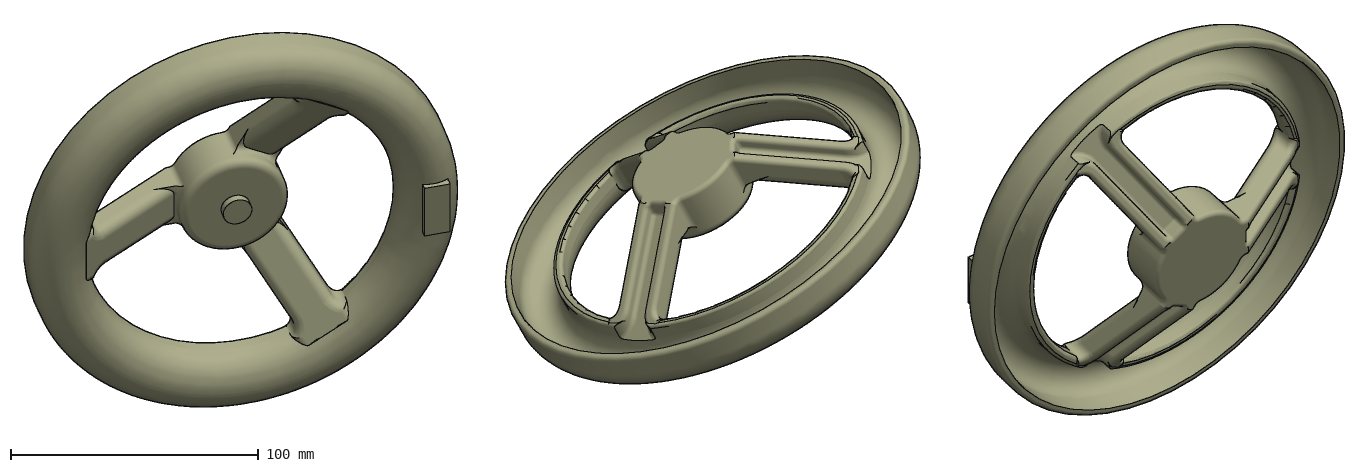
import cadquery as cq
import math

RIM_RADIUS = 89.8
RIM_FRONT = 23.7
RIM_BACK = 44.0
RIM_SIDE_END = 32.9
RIM_BACK_RADIUS = 78.1
BORE_RADIUS = 64.8
BORE_SIDE_END = 31.5
LIP_FRONT = 25.5
LIP_RADIUS = 69.0
TROUGH_RADIUS = 86.5
TROUGH_CENTER_X = 32.3
OUTER_LIP_FILLET = 1.8
INNER_LIP_FILLET = 1.5

HUB_RADIUS = 22.6
HUB_LENGTH = 22.1
HUB_BACK_FILLET = 3.2
BOSS_DIAMETER = 12.0
BOSS_LENGTH = 3.2

SPOKE_COUNT = 3
SPOKE_WIDTH = 19.0
SPOKE_SLOPE = 0.587
SPOKE_DEPTH = 13.8
SPOKE_KNEE = 23.4
SPOKE_END = 67.5
SPOKE_BACK_FILLET = 4.3
SPOKE_HUB_FILLET = 2.9
SPOKE_RIM_FILLET = 4.0
FRONT_FILLET = 2.0

CHANNEL_WIDTH = 8.6
CHANNEL_START = 23.0
CHANNEL_DEPTH = 6.3
CHANNEL_END = 70.0
CHANNEL_FLARE = 7.9
CHANNEL_FLOOR_FILLET = 1.8

PAD_BACK = 46.0
PAD_RADIUS = 78.0
PAD_HEIGHT = 10.8
PAD_LENGTH = 24.5

TINY = 0.09


def front_of_spoke(distance):
    """X of a spoke's front at a distance along the spoke."""
    return max(0, SPOKE_SLOPE * (distance - SPOKE_KNEE))


def distance_along(edge):
    """Distance of an edge's middle from the axis, along the nearest spoke."""
    middle = edge.positionAt(0.5)
    angles = [math.radians(180 + 360 / SPOKE_COUNT * i) for i in range(SPOKE_COUNT)]
    return max(middle.y * math.cos(a) + middle.z * math.sin(a) for a in angles)


def depth_below_front(edge):
    return edge.positionAt(0.5).x - front_of_spoke(distance_along(edge))


def is_along_x(edge):
    box = edge.BoundingBox()
    return box.ylen < TINY and box.zlen < TINY


def ellipse_mid(start, end):
    """Midpoint of the quarter ellipse that leaves start along X and reaches end along Y."""
    c = math.sqrt(0.5)
    return (start[0] + c * (end[0] - start[0]), end[1] + c * (start[1] - end[1]))


def around(body, index):
    return body.rotate((0, 0, 0), (1, 0, 0), 360 / SPOKE_COUNT * index)


def make_rim():
    back = (RIM_BACK, RIM_BACK_RADIUS)
    outer = (RIM_SIDE_END, RIM_RADIUS)
    inner = (BORE_SIDE_END, BORE_RADIUS)
    trough_bottom = (
        TROUGH_CENTER_X + (TROUGH_RADIUS - LIP_RADIUS) / 2,
        (TROUGH_RADIUS + LIP_RADIUS) / 2,
    )
    profile = (
        cq.Workplane("XY")
        .moveTo(RIM_FRONT, RIM_RADIUS)
        .lineTo(*outer)
        .threePointArc(ellipse_mid(outer, back), back)
        .threePointArc(ellipse_mid(inner, back), inner)
        .lineTo(LIP_FRONT, BORE_RADIUS)
        .lineTo(LIP_FRONT, LIP_RADIUS)
        .lineTo(TROUGH_CENTER_X, LIP_RADIUS)
        .threePointArc(trough_bottom, (TROUGH_CENTER_X, TROUGH_RADIUS))
        .lineTo(RIM_FRONT, TROUGH_RADIUS)
        .close()
    )
    rim = profile.revolve(360, (0, 0, 0), (1, 0, 0))
    rim = rim.edges("<X").edges(cq.selectors.RadiusNthSelector(-1)).fillet(OUTER_LIP_FILLET)
    inner_lip = rim.edges().filter(lambda edge: abs(edge.Center().x - LIP_FRONT) < TINY and edge.IsClosed())
    inner_lip = inner_lip.filter(lambda edge: edge.radius() < RIM_BACK_RADIUS)
    return inner_lip.fillet(INNER_LIP_FILLET)


def flared_strip(start, end, half, flare_start, flare):
    """Strip toward -Y that is widened by round flares, extruded along X."""
    c = math.sqrt(0.5)
    mid = (-flare_start - flare * c, half + flare * (1 - c))
    tip = (-flare_start - flare, half + flare)
    return (
        cq.Workplane("YZ")
        .moveTo(-start, -half)
        .lineTo(-start, half)
        .lineTo(-flare_start, half)
        .threePointArc(mid, tip)
        .lineTo(-end, tip[1])
        .lineTo(-end, -tip[1])
        .lineTo(tip[0], -tip[1])
        .threePointArc((mid[0], -mid[1]), (-flare_start, -half))
        .close()
        .extrude(RIM_BACK)
    )


def side_slab(points):
    return cq.Workplane("XY").polyline(points).close().extrude(RIM_RADIUS / 2, both=True)


def make_spoke():
    front = front_of_spoke(SPOKE_END)
    slab = side_slab([
        (0, 0),
        (0, -SPOKE_KNEE),
        (front, -SPOKE_END),
        (front + SPOKE_DEPTH, -SPOKE_END),
        (SPOKE_DEPTH, -SPOKE_KNEE),
        (SPOKE_DEPTH, 0),
    ])
    half = SPOKE_WIDTH / 2
    bore_at_side = math.sqrt(BORE_RADIUS**2 - (half + SPOKE_RIM_FILLET) ** 2)
    plan = flared_strip(0, SPOKE_END, half, bore_at_side - SPOKE_RIM_FILLET, SPOKE_RIM_FILLET)
    spoke = plan.intersect(slab)

    def is_long_back_edge(edge):
        inside_ends = SPOKE_KNEE < distance_along(edge) < SPOKE_END - TINY
        off_center = abs(edge.Center().z) > TINY
        return inside_ends and off_center and abs(depth_below_front(edge) - SPOKE_DEPTH) < TINY

    return spoke.edges().filter(is_long_back_edge).fillet(SPOKE_BACK_FILLET)


def make_channel():
    start = front_of_spoke(CHANNEL_START) + CHANNEL_DEPTH
    end = front_of_spoke(CHANNEL_END) + CHANNEL_DEPTH
    above_floor = side_slab([
        (-1.8, -CHANNEL_START),
        (start, -CHANNEL_START),
        (end, -CHANNEL_END),
        (-1.8, -CHANNEL_END),
    ])
    plan = flared_strip(
        CHANNEL_START, CHANNEL_END, CHANNEL_WIDTH / 2, LIP_RADIUS - CHANNEL_FLARE, CHANNEL_FLARE
    )
    channel = plan.intersect(above_floor)

    def is_floor_or_start_edge(edge):
        at_start = abs(distance_along(edge) - CHANNEL_START) < TINY
        on_floor = abs(depth_below_front(edge) - CHANNEL_DEPTH) < TINY
        return (at_start and edge.Center().x > TINY) or (on_floor and distance_along(edge) < LIP_RADIUS - TINY)

    return channel.edges().filter(is_floor_or_start_edge).fillet(CHANNEL_FLOOR_FILLET)


def cut_channels(body):
    for i in range(SPOKE_COUNT):
        body = body.cut(around(make_channel(), i))
    return body


def make_spider():
    """Hub and channeled spokes, rounded at their edges."""
    spider = cq.Workplane("YZ").circle(HUB_RADIUS).extrude(HUB_LENGTH)
    for i in range(SPOKE_COUNT):
        spider = spider.union(around(make_spoke(), i))

    def is_hub_junction(edge):
        middle = edge.positionAt(0.5)
        on_hub = abs(math.hypot(middle.y, middle.z) - HUB_RADIUS) < TINY
        behind_spoke = abs(middle.x - SPOKE_DEPTH) < TINY
        return on_hub and (is_along_x(edge) or behind_spoke)

    spider = spider.edges().filter(is_hub_junction).fillet(SPOKE_HUB_FILLET)
    spider = cut_channels(spider)

    def is_front_outline(edge):
        distance = distance_along(edge)
        at_knee = abs(distance - SPOKE_KNEE) < TINY
        on_front = abs(depth_below_front(edge)) < TINY
        return on_front and not at_knee and distance < SPOKE_END - TINY

    spider = spider.edges().filter(is_front_outline).fillet(FRONT_FILLET)
    hub_back = cq.selectors.NearestToPointSelector((HUB_LENGTH, 0, 0))
    spider = spider.faces(hub_back).edges().fillet(HUB_BACK_FILLET)
    boss = cq.Workplane("YZ").workplane(offset=HUB_LENGTH).circle(BOSS_DIAMETER / 2).extrude(BOSS_LENGTH)
    return spider.union(boss)


def make_pad():
    """Plain pad standing for the raised marking at the +Y side of the rim."""
    front = RIM_BACK - 1.8
    return (
        cq.Workplane("YZ", origin=(front, PAD_RADIUS, 0))
        .rect(PAD_HEIGHT, PAD_LENGTH)
        .extrude(PAD_BACK - front)
    )


result = cut_channels(make_rim()).union(make_spider()).union(make_pad())